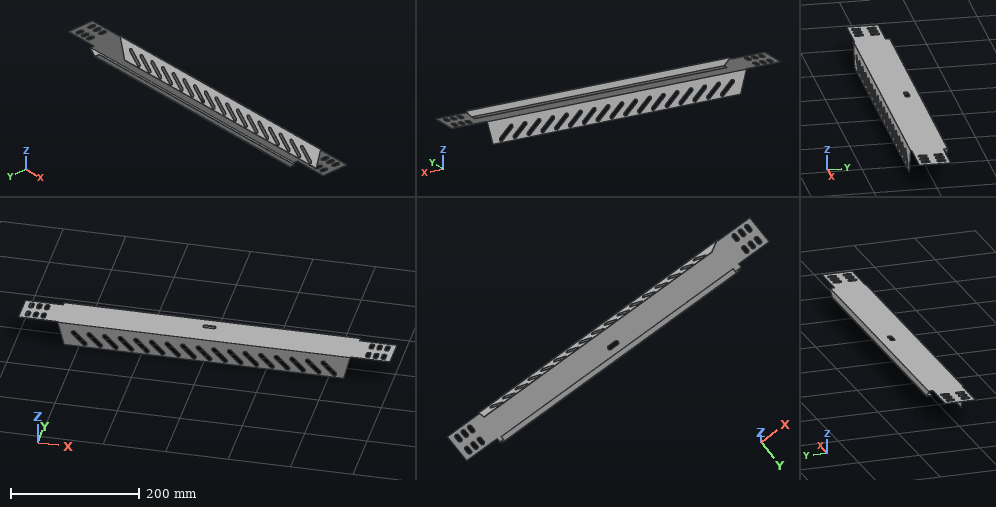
import cadquery as cq

sheet = 0.7
total_length = 595.0
total_depth = 59.4
total_height = 40.0

tongue_depth = 50.0
tongue_front = 2.0

front_top_length = 469.0
front_bottom_length = 448.0

rear_length = 475.0
rear_height = 12.5
return_depth = 9.5
rear_taper_start = 3.0

slot_width = 7.0
tongue_slot_length = 14.0
tongue_slot_pitch = 12.5
tongue_slot_columns = 3
tongue_slot_edge = 12.5
tongue_row_pitch = tongue_depth / 2
centre_slot_length = 20.0
flange_slot_length = 32.0
flange_slot_pitch = 25.0
flange_slot_count = 17
flange_slot_drop = 25.0
flange_slot_angle = -45.0

tongue_middle = tongue_front + tongue_depth / 2
rear_row = tongue_middle + tongue_row_pitch / 2
front_row = tongue_middle - tongue_row_pitch / 2
return_length = rear_length - 2 * (rear_height - rear_taper_start)


def block(length, y_start, y_end, z_bottom, z_top):
    """Box centred on X = 0 between the given Y and Z limits."""
    box = cq.Workplane("XY").box(length, y_end - y_start, z_top - z_bottom, centered=(True, False, False))
    return box.translate((0, y_start, z_bottom))


def top_plate():
    tongues = block(total_length, tongue_front, tongue_front + tongue_depth, -sheet, 0)
    front_strip = block(front_top_length, 0, tongue_middle, -sheet, 0)
    rear_strip = block(rear_length, tongue_middle, total_depth, -sheet, 0)
    return tongues.union(front_strip).union(rear_strip)


def front_flange():
    outline = [
        (-front_top_length / 2, 0),
        (front_top_length / 2, 0),
        (front_bottom_length / 2, -total_height),
        (-front_bottom_length / 2, -total_height),
    ]
    return cq.Workplane("XZ").polyline(outline).close().extrude(-sheet)


def rear_lip():
    outline = [
        (-rear_length / 2, 0),
        (rear_length / 2, 0),
        (rear_length / 2, -rear_taper_start),
        (return_length / 2, -rear_height),
        (-return_length / 2, -rear_height),
        (-rear_length / 2, -rear_taper_start),
    ]
    wall_plane = cq.Workplane("XZ", origin=(0, total_depth, 0))
    wall = wall_plane.polyline(outline).close().extrude(sheet)
    lip = block(return_length, total_depth - return_depth, total_depth, -rear_height, sheet - rear_height)
    return wall.union(lip)


def tongue_slots():
    points = []
    for column in range(tongue_slot_columns):
        x = total_length / 2 - tongue_slot_edge - column * tongue_slot_pitch
        for y in (front_row, rear_row):
            points += [(x, y), (-x, y)]
    return cq.Workplane("XY").pushPoints(points).slot2D(tongue_slot_length, slot_width, 90).extrude(-sheet)


def centre_slot():
    return cq.Workplane("XY").center(0, rear_row).slot2D(centre_slot_length, slot_width).extrude(-sheet)


def flange_slots():
    middle = (flange_slot_count - 1) / 2
    points = [((i - middle) * flange_slot_pitch, -flange_slot_drop) for i in range(flange_slot_count)]
    slots = cq.Workplane("XZ").pushPoints(points)
    return slots.slot2D(flange_slot_length, slot_width, flange_slot_angle).extrude(-sheet)


body = top_plate().union(front_flange()).union(rear_lip())
result = body.cut(tongue_slots()).cut(centre_slot()).cut(flange_slots())